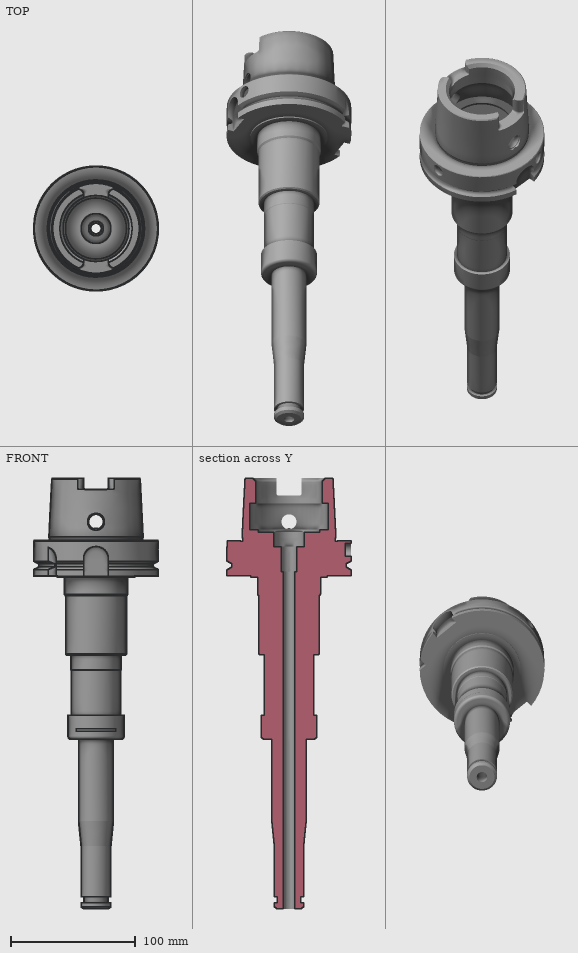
import cadquery as cq
import math


OVERLAP = 1.0

SHANK_LENGTH = 50.0
GAUGE_DIAMETER = 75.0
GAUGE_Z = 10.0
TAPER_RATIO = 1 / 10
SHANK_TIP_CHAMFER = 0.8
RELIEF_DIAMETER = 75.0
FACE_RECESS_DIAMETER = 78.0
FACE_RECESS_DEPTH = 0.3
RELIEF_HEIGHT = 3.0
RELIEF_SLOPE = 1.2

BORE_DIAMETER = 53.0
BORE_MOUTH_DIAMETER = 58.0
BORE_MOUTH_DEPTH = 2.5
CHAMBER_TOP_Z = 29.5
CHAMBER_DIAMETER = 63.0
CHAMBER_FLOOR_Z = 8.9
FLOOR_RECESS_DIAMETER = 49.0
FLOOR_RECESS_Z = 7.0

COOLANT_SEAT_DIAMETER = 24.0
COOLANT_SEAT_DEPTH = 12.0
COOLANT_MID_DIAMETER = 12.0
COOLANT_MID_DEPTH = 20.0
COOLANT_DIAMETER = 8.5

DRIVE_SLOT_WIDTH = 20.0
DRIVE_SLOT_FLARE = 4.8
DRIVE_SLOT_FLARE_START = 27.0
DRIVE_SLOT_FILLET = 1.5
FRONT_SLOT_DEPTH = 8.9
REAR_SLOT_DEPTH = 14.0

ACCESS_HOLE_DIAMETER = 12.0
ACCESS_HOLE_MOUTH_DIAMETER = 13.5
ACCESS_HOLE_MOUTH_DEPTH = 1.5
ACCESS_HOLE_Z = 15.0

FLANGE_DIAMETER = 100.0
FLANGE_THICKNESS = 28.5
FLANGE_EDGE_CHAMFER = 0.5
GROOVE_CENTER_Z = -20.0
GROOVE_MOUTH_HALF = 3.4
GROOVE_FLOOR_HALF = 1.2
GROOVE_FLOOR_DIAMETER = 92.0
KEYWAY_WIDTH = 20.0
KEYWAY_TOP_Z = -4.8
KEYWAY_FLOOR_Y = 44.0
NOTCH_WALL = 32.0
CHIP_HOLE_DIAMETER = 10.0
CHIP_HOLE_DEPTH = 4.6
CHIP_HOLE_Z = -7.5
CHIP_HOLE_ANGLES = (0.0, 110.0)

BOSS_DIAMETER = 62.0
BOSS_END_Z = -29.5
COLLAR_DIAMETER = 51.0
COLLAR_END_Z = -43.0
COLLAR_TAPER = 1.5
BODY_DIAMETER = 49.0
BODY_END_Z = -92.0
BODY_CHAMFER = 1.0
NECK_DIAMETER = 40.4
NECK_STEP_Z = -103.5
NECK_STEP_DIAMETER = 40.0
NECK_STEP_TAPER = 0.5
NECK_END_Z = -140.0
NUT_DIAMETER = 45.0
NUT_END_Z = -159.5
NUT_FILLET = 2.5
STEM_DIAMETER = 28.0
STEM_END_Z = -225.0
STEM_TAPER_END_Z = -245.0
TIP_DIAMETER = 24.0
TIP_END_Z = -286.0
TIP_GROOVE_DIAMETER = 19.5
TIP_GROOVE_END_Z = -290.5
TIP_RING_END_Z = -293.8
TIP_CHAMFER_DIAMETER = 20.0
PART_END_Z = -295.5

MARK_TOP_Z = -151.0
MARK_HEIGHT = 2.0
MARK_DEPTH = 0.2
MARK_HALF_ANGLE = 45.0


def disc(diameter, top_z, bottom_z):
    return cq.Workplane("XY", origin=(0, 0, bottom_z)).circle(diameter / 2).extrude(top_z - bottom_z)


def revolved(points):
    """Solid of revolution about Z from (diameter, z) points, closed along the axis."""
    outline = [(0, points[0][1])]
    outline += [(diameter / 2, z) for diameter, z in points]
    outline.append((0, points[-1][1]))
    return cq.Workplane("XZ").polyline(outline).close().revolve(360, (0, 0), (0, 1))


def taper_diameter(z):
    return GAUGE_DIAMETER - TAPER_RATIO * (z - GAUGE_Z)


def make_shank():
    tip_diameter = taper_diameter(SHANK_LENGTH)
    return revolved([
        (RELIEF_DIAMETER, -OVERLAP),
        (RELIEF_DIAMETER, RELIEF_HEIGHT - RELIEF_SLOPE),
        (taper_diameter(RELIEF_HEIGHT), RELIEF_HEIGHT),
        (taper_diameter(SHANK_LENGTH - SHANK_TIP_CHAMFER), SHANK_LENGTH - SHANK_TIP_CHAMFER),
        (tip_diameter - 2 * SHANK_TIP_CHAMFER, SHANK_LENGTH),
    ])


def make_flange():
    inner_edge = FLANGE_DIAMETER - 2 * FLANGE_EDGE_CHAMFER
    return revolved([
        (FLANGE_DIAMETER, -FLANGE_THICKNESS),
        (FLANGE_DIAMETER, GROOVE_CENTER_Z - GROOVE_MOUTH_HALF),
        (GROOVE_FLOOR_DIAMETER, GROOVE_CENTER_Z - GROOVE_FLOOR_HALF),
        (GROOVE_FLOOR_DIAMETER, GROOVE_CENTER_Z + GROOVE_FLOOR_HALF),
        (FLANGE_DIAMETER, GROOVE_CENTER_Z + GROOVE_MOUTH_HALF),
        (FLANGE_DIAMETER, -FLANGE_EDGE_CHAMFER),
        (inner_edge, 0),
        (FACE_RECESS_DIAMETER, 0),
        (FACE_RECESS_DIAMETER, -FACE_RECESS_DEPTH),
    ])


def make_arbor():
    arbor = revolved([
        (BOSS_DIAMETER, -OVERLAP),
        (BOSS_DIAMETER, BOSS_END_Z),
        (COLLAR_DIAMETER, BOSS_END_Z),
        (COLLAR_DIAMETER, COLLAR_END_Z),
        (BODY_DIAMETER, COLLAR_END_Z - COLLAR_TAPER),
        (BODY_DIAMETER, BODY_END_Z + BODY_CHAMFER),
        (BODY_DIAMETER - 2 * BODY_CHAMFER, BODY_END_Z),
        (NECK_DIAMETER, BODY_END_Z),
        (NECK_DIAMETER, NECK_STEP_Z),
        (NECK_STEP_DIAMETER, NECK_STEP_Z - NECK_STEP_TAPER),
        (NECK_STEP_DIAMETER, NECK_END_Z),
        (STEM_DIAMETER, NECK_END_Z),
        (STEM_DIAMETER, STEM_END_Z),
        (TIP_DIAMETER, STEM_TAPER_END_Z),
        (TIP_DIAMETER, TIP_END_Z),
        (TIP_GROOVE_DIAMETER, TIP_END_Z),
        (TIP_GROOVE_DIAMETER, TIP_GROOVE_END_Z),
        (TIP_DIAMETER, TIP_GROOVE_END_Z),
        (TIP_DIAMETER, TIP_RING_END_Z),
        (TIP_CHAMFER_DIAMETER, PART_END_Z),
    ])
    nut = disc(NUT_DIAMETER, NECK_END_Z, NUT_END_Z).faces("<Z").edges().fillet(NUT_FILLET)
    return arbor.union(nut)


def make_bore():
    cut_top = SHANK_LENGTH + OVERLAP
    mid_top = FLOOR_RECESS_Z - COOLANT_SEAT_DEPTH
    mid_bottom = mid_top - COOLANT_MID_DEPTH
    return revolved([
        (BORE_MOUTH_DIAMETER, cut_top),
        (BORE_MOUTH_DIAMETER, SHANK_LENGTH),
        (BORE_DIAMETER, SHANK_LENGTH - BORE_MOUTH_DEPTH),
        (BORE_DIAMETER, CHAMBER_TOP_Z),
        (CHAMBER_DIAMETER, CHAMBER_TOP_Z),
        (CHAMBER_DIAMETER, CHAMBER_FLOOR_Z),
        (FLOOR_RECESS_DIAMETER, CHAMBER_FLOOR_Z),
        (FLOOR_RECESS_DIAMETER, FLOOR_RECESS_Z),
        (COOLANT_SEAT_DIAMETER, FLOOR_RECESS_Z),
        (COOLANT_SEAT_DIAMETER, mid_top),
        (COOLANT_MID_DIAMETER, mid_top),
        (COOLANT_MID_DIAMETER, mid_bottom),
        (COOLANT_DIAMETER, mid_bottom),
        (COOLANT_DIAMETER, PART_END_Z - OVERLAP),
    ])


def drive_slot(side, depth):
    """Slot through the tip wall, flaring outwards with rounded walls; side is -1 for -Y, +1 for +Y."""
    half = DRIVE_SLOT_WIDTH / 2
    flare = DRIVE_SLOT_FLARE
    flare_start = side * DRIVE_SLOT_FLARE_START
    flare_end = flare_start + side * flare
    outer = side * (GAUGE_DIAMETER / 2 + DRIVE_SLOT_FILLET)
    diagonal = flare * math.sqrt(0.5)
    right_mid = (half + flare - diagonal, flare_start + side * diagonal)
    left_mid = (-right_mid[0], right_mid[1])
    return (
        cq.Workplane("XY", origin=(0, 0, SHANK_LENGTH - depth))
        .moveTo(-half, 0)
        .lineTo(half, 0)
        .lineTo(half, flare_start)
        .threePointArc(right_mid, (half + flare, flare_end))
        .lineTo(half + flare, outer)
        .lineTo(-half - flare, outer)
        .lineTo(-half - flare, flare_end)
        .threePointArc(left_mid, (-half, flare_start))
        .close()
        .extrude(depth + OVERLAP)
        .faces("<Z")
        .edges()
        .fillet(DRIVE_SLOT_FILLET)
    )


def keyway(center_x, near_y, far_y):
    """Round-topped slot through the flange rim, open downwards, between two Y levels."""
    radius = KEYWAY_WIDTH / 2
    center_z = KEYWAY_TOP_Z - radius
    bottom_z = BOSS_END_Z - OVERLAP
    return (
        cq.Workplane("XZ", origin=(0, far_y, 0))
        .moveTo(center_x - radius, bottom_z)
        .lineTo(center_x - radius, center_z)
        .threePointArc((center_x, KEYWAY_TOP_Z), (center_x + radius, center_z))
        .lineTo(center_x + radius, bottom_z)
        .close()
        .extrude(far_y - near_y)
    )


def access_holes():
    outer = GAUGE_DIAMETER / 2
    hole = cq.Workplane("XZ", origin=(0, outer, ACCESS_HOLE_Z)).circle(ACCESS_HOLE_DIAMETER / 2)
    holes = hole.extrude(GAUGE_DIAMETER)
    surface_radius = taper_diameter(ACCESS_HOLE_Z) / 2
    for side in (-1, 1):
        mouth = (
            cq.Workplane("XZ", origin=(0, side * outer, ACCESS_HOLE_Z))
            .circle(ACCESS_HOLE_MOUTH_DIAMETER / 2)
            .extrude(side * (outer - surface_radius + ACCESS_HOLE_MOUTH_DEPTH))
        )
        holes = holes.union(mouth)
    return holes


def chip_hole(angle):
    """Blind radial hole in the flange rim; the angle is measured from +X towards +Y."""
    floor_x = FLANGE_DIAMETER / 2 - CHIP_HOLE_DEPTH
    hole = cq.Workplane("YZ", origin=(floor_x, 0, CHIP_HOLE_Z)).circle(CHIP_HOLE_DIAMETER / 2)
    return hole.extrude(CHIP_HOLE_DEPTH + OVERLAP).rotate((0, 0, 0), (0, 0, 1), angle)


def nut_mark():
    """Shallow arc groove around the -Y side of the nut."""
    angle = math.radians(MARK_HALF_ANGLE)
    reach = NUT_DIAMETER
    corner_x = reach * math.sin(angle)
    corner_y = -reach * math.cos(angle)
    bottom_z = MARK_TOP_Z - MARK_HEIGHT
    ring = disc(NUT_DIAMETER + OVERLAP, MARK_TOP_Z, bottom_z)
    ring = ring.cut(disc(NUT_DIAMETER - 2 * MARK_DEPTH, MARK_TOP_Z, bottom_z))
    sector = (
        cq.Workplane("XY", origin=(0, 0, bottom_z))
        .polyline([(0, 0), (-corner_x, corner_y), (corner_x, corner_y)])
        .close()
        .extrude(MARK_HEIGHT)
    )
    return ring.intersect(sector)


rim = FLANGE_DIAMETER / 2 + OVERLAP
notch_center_x = -NOTCH_WALL - KEYWAY_WIDTH / 2

result = make_flange().union(make_shank()).union(make_arbor()).cut(make_bore())
result = result.cut(drive_slot(-1, FRONT_SLOT_DEPTH)).cut(drive_slot(1, REAR_SLOT_DEPTH))
result = result.cut(access_holes()).cut(nut_mark())
for hole_angle in CHIP_HOLE_ANGLES:
    result = result.cut(chip_hole(hole_angle))
result = result.cut(keyway(0, -rim, -KEYWAY_FLOOR_Y)).cut(keyway(0, KEYWAY_FLOOR_Y, rim))
result = result.cut(keyway(notch_center_x, -rim, -NOTCH_WALL))